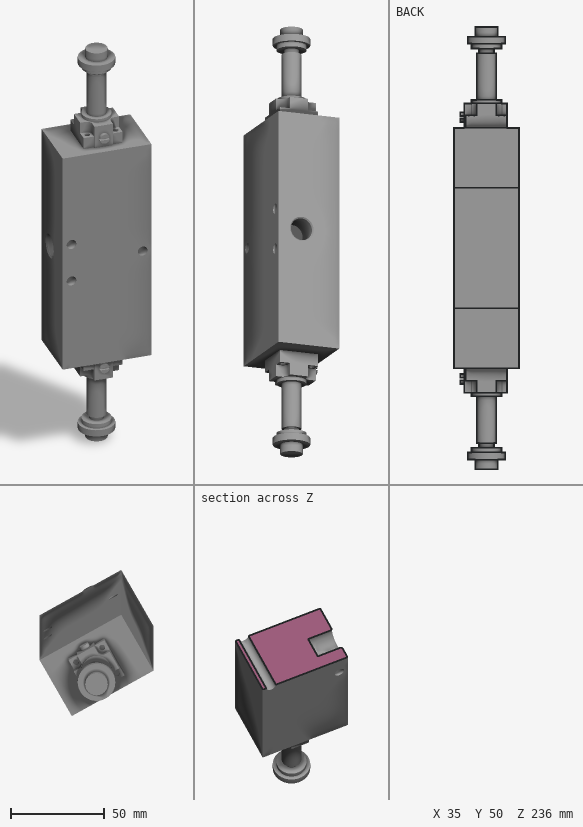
import cadquery as cq


BODY_WIDTH = 35.0
BODY_DEPTH = 50.0
BODY_HALF_LENGTH = 64.2
MIDDLE_HALF_LENGTH = 32.0

PORT_DIAMETER = 12.0
PORT_CHAMFER = 0.7
PORT_DEPTH = 14.2
PORT_X = -4.0
COUNTERSINK_ANGLE = 90

MOUNT_HOLE_DIAMETER = 5.5
MOUNT_HOLE_Y = 20.0
MOUNT_HOLE_Z = 11.0
MOUNT_HOLE_PLACES = [(MOUNT_HOLE_Y, 0), (-MOUNT_HOLE_Y, MOUNT_HOLE_Z), (-MOUNT_HOLE_Y, -MOUNT_HOLE_Z)]

BASE_SIDE = 22.0
BASE_TOP = 77.2
NOTCH_FLOOR = 70.8
NOTCH_WALL = 5.2
NOTCH_FILLET = 2.8
SCREW_HOLE_DIAMETER = 3.0
SCREW_HOLE_DEPTH = 2.4
SCREW_PITCH = 2 * (NOTCH_WALL + NOTCH_FILLET)

PAD_THICKNESS = 1.0
BUTTON_DIAMETER = 5.5
BUTTON_LENGTH = 2.1
BUTTON_Z = 69.9
SLOT_WIDTH = 1.2

STEM_TOP = 118.0
STEM_STEPS = [
    (16.0, 79.0),
    (10.6, 104.0),
    (8.0, 106.5),
    (16.0, 109.0),
    (20.0, 112.8),
    (12.0, STEM_TOP),
]


def make_middle_block():
    block = cq.Workplane("XY").box(BODY_WIDTH, BODY_DEPTH, 2 * MIDDLE_HALF_LENGTH)
    block = (
        block.faces("<Y")
        .workplane(centerOption="CenterOfBoundBox")
        .center(PORT_X, 0)
        .cskHole(PORT_DIAMETER, PORT_DIAMETER + 2 * PORT_CHAMFER, COUNTERSINK_ANGLE, PORT_DEPTH)
    )
    mount_holes = (
        cq.Workplane("YZ")
        .pushPoints(MOUNT_HOLE_PLACES)
        .circle(MOUNT_HOLE_DIAMETER / 2)
        .extrude(BODY_WIDTH, both=True)
    )
    return block.cut(mount_holes)


def make_pilot_base():
    height = BASE_TOP - BODY_HALF_LENGTH
    base = cq.Workplane("XY", origin=(0, 0, BODY_HALF_LENGTH)).rect(BASE_SIDE, BASE_SIDE).extrude(height)

    notch_side = BASE_SIDE / 2
    notch_center = NOTCH_WALL + notch_side / 2
    notches = (
        cq.Workplane("XY", origin=(0, 0, NOTCH_FLOOR))
        .rect(2 * notch_center, 2 * notch_center, forConstruction=True)
        .vertices()
        .rect(notch_side, notch_side)
        .extrude(BASE_TOP - NOTCH_FLOOR)
        .edges("|Z")
        .fillet(NOTCH_FILLET)
    )
    screw_holes = (
        cq.Workplane("XY", origin=(0, 0, NOTCH_FLOOR))
        .rect(SCREW_PITCH, SCREW_PITCH, forConstruction=True)
        .vertices()
        .circle(SCREW_HOLE_DIAMETER / 2)
        .extrude(-SCREW_HOLE_DEPTH)
    )
    pad = (
        cq.Workplane("XY", origin=((BASE_SIDE + PAD_THICKNESS) / 2, 0, BODY_HALF_LENGTH))
        .rect(PAD_THICKNESS, 2 * NOTCH_WALL)
        .extrude(height)
    )
    return base.cut(notches).cut(screw_holes).union(pad)


def make_override_button():
    pad_face = BASE_SIDE / 2 + PAD_THICKNESS
    button = (
        cq.Workplane("YZ", origin=(pad_face, 0, BUTTON_Z))
        .circle(BUTTON_DIAMETER / 2)
        .extrude(BUTTON_LENGTH)
    )
    slot = (
        cq.Workplane("YZ", origin=(pad_face, 0, BUTTON_Z))
        .rect(BUTTON_DIAMETER, SLOT_WIDTH)
        .extrude(BUTTON_LENGTH)
    )
    return button.cut(slot)


def make_stem():
    outline = cq.Workplane("XZ").moveTo(0, BASE_TOP)
    bottom = BASE_TOP
    for diameter, top in STEM_STEPS:
        outline = outline.lineTo(diameter / 2, bottom)
        outline = outline.lineTo(diameter / 2, top)
        bottom = top
    return outline.lineTo(0, STEM_TOP).close().revolve(360, (0, 0, 0), (0, 1, 0))


def make_end(is_lower):
    cap_length = BODY_HALF_LENGTH - MIDDLE_HALF_LENGTH
    cap = (
        cq.Workplane("XY", origin=(0, 0, MIDDLE_HALF_LENGTH))
        .rect(BODY_WIDTH, BODY_DEPTH)
        .extrude(cap_length)
    )
    upper_end = cap.union(make_pilot_base()).union(make_override_button()).union(make_stem())
    return upper_end.mirror("XY") if is_lower else upper_end


middle_block = make_middle_block()
ends = [make_end(is_lower) for is_lower in (False, True)]

result = cq.Compound.makeCompound([middle_block.val(), *[end.val() for end in ends]])